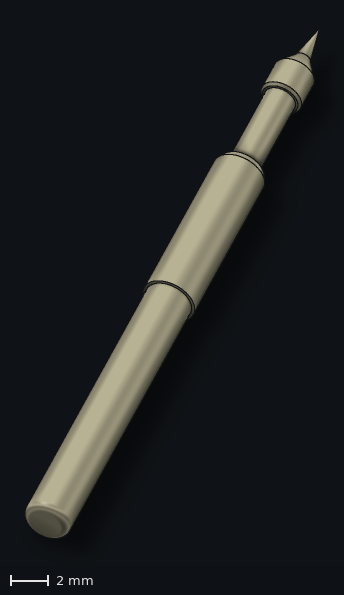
import cadquery as cq
import math

TOTAL_LENGTH = 37.8
POINT_LENGTH = 2.4
NOSE_END = 3.55
COLLAR_END = 5.48
SLEEVE_START = 10.77
SLEEVE_END = 20.83

POINT_RADIUS = 0.45
COLLAR_RADIUS = 1.17
STEM_RADIUS = 1.78 / 2
SLEEVE_RADIUS = 3.0 / 2
TAIL_RADIUS = 1.32

COLLAR_CHAMFER = 0.15
SLEEVE_CHAMFER_LENGTH = 0.4
SLEEVE_CHAMFER_DEPTH = 0.2
TAIL_ROUNDING = 0.4

TIP_Y = TOTAL_LENGTH / 2


def axial(distance_from_tip):
    """Y position at a given distance behind the tip."""
    return TIP_Y - distance_from_tip


round_start = TOTAL_LENGTH - TAIL_ROUNDING
round_offset = TAIL_ROUNDING * math.sqrt(0.5)

profile = (
    cq.Workplane("XY")
    .moveTo(0, axial(0))
    .lineTo(POINT_RADIUS, axial(POINT_LENGTH))
    .lineTo(COLLAR_RADIUS, axial(NOSE_END))
    .lineTo(COLLAR_RADIUS, axial(COLLAR_END - COLLAR_CHAMFER))
    .lineTo(COLLAR_RADIUS - COLLAR_CHAMFER, axial(COLLAR_END))
    .lineTo(STEM_RADIUS, axial(COLLAR_END))
    .lineTo(STEM_RADIUS, axial(SLEEVE_START))
    .lineTo(SLEEVE_RADIUS - SLEEVE_CHAMFER_DEPTH, axial(SLEEVE_START))
    .lineTo(SLEEVE_RADIUS, axial(SLEEVE_START + SLEEVE_CHAMFER_LENGTH))
    .lineTo(SLEEVE_RADIUS, axial(SLEEVE_END))
    .lineTo(TAIL_RADIUS, axial(SLEEVE_END))
    .lineTo(TAIL_RADIUS, axial(round_start))
    .threePointArc(
        (TAIL_RADIUS - TAIL_ROUNDING + round_offset, axial(round_start + round_offset)),
        (TAIL_RADIUS - TAIL_ROUNDING, axial(TOTAL_LENGTH)),
    )
    .lineTo(0, axial(TOTAL_LENGTH))
    .close()
)

result = profile.revolve(360, (0, 0, 0), (0, 1, 0))